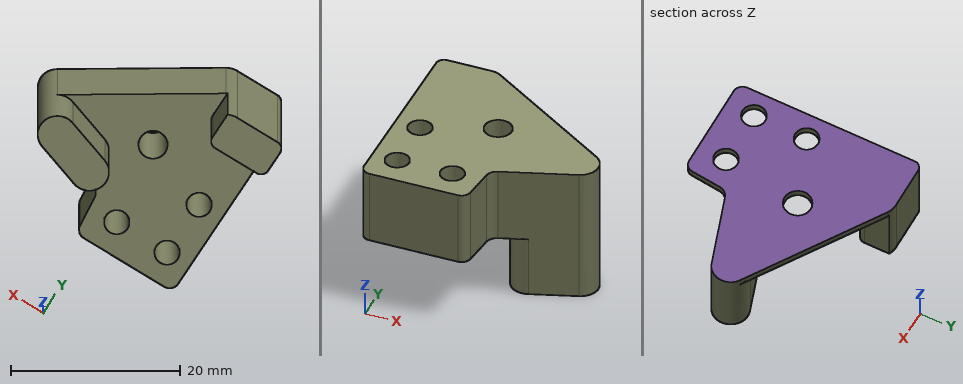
import cadquery as cq
import math

length_x = 25.76
depth_y = 24.61
height_z = 17.74
foot_height = 8.0

front_edge_end_x = 13.55
side_lean_angle = 6.3
lower_edge_angle = 18.43
upper_edge_angle = -32.95
tip_radius = 2.325
tip_center_y = 11.42
corner_radius = 1.2
rear_left_radius = 1.0
rear_right_radius = 2.5
inner_corner_radius = 1.45

rear_foot_length = 7.8
rear_foot_depth = 4.6
rear_foot_radius = 1.0

tip_foot_center_distance = 6.0

small_hole_diameter = 3.0
large_hole_diameter = 3.45
small_hole_x = 3.2
small_hole_y = 3.78
small_hole_pitch = 7.05
large_hole_center = (11.8, 14.2)

tip_center_x = length_x - tip_radius


def direction(angle):
    """Unit vector at an angle in degrees from the X axis."""
    return math.cos(math.radians(angle)), math.sin(math.radians(angle))


def from_tip_center(distance, angle):
    """Point at a distance and angle from the center of the rounded tip."""
    dx, dy = direction(angle)
    return tip_center_x + distance * dx, tip_center_y + distance * dy


def crossing(point_a, angle_a, point_b, angle_b):
    """Point where two lines meet, each given by a point and an angle."""
    ax, ay = direction(angle_a)
    bx, by = direction(angle_b)
    gap_x = point_b[0] - point_a[0]
    gap_y = point_b[1] - point_a[1]
    travel = (gap_x * by - gap_y * bx) / (ax * by - ay * bx)
    return point_a[0] + travel * ax, point_a[1] + travel * ay


def round_upright_edge(solid, point, radius):
    """Fillet the vertical edge nearest to a plan point."""
    x, y = point
    edge = cq.selectors.NearestToPointSelector((x, y, height_z / 2))
    return solid.edges("|Z").edges(edge).fillet(radius)


def make_body():
    """Full-height prism with a pointed nose and rounded upright edges."""
    lower_tangent = from_tip_center(tip_radius, lower_edge_angle - 90)
    upper_tangent = from_tip_center(tip_radius, upper_edge_angle + 90)
    front_left = (0, 0)
    front_right = (front_edge_end_x, 0)
    inner = crossing(front_right, 90 - side_lean_angle, lower_tangent, lower_edge_angle)
    tip = crossing(lower_tangent, lower_edge_angle, upper_tangent, upper_edge_angle)
    rear_left = (0, depth_y)
    rear_right = crossing(rear_left, 0, upper_tangent, upper_edge_angle)

    rounded_corners = [
        (front_left, corner_radius),
        (front_right, corner_radius),
        (inner, inner_corner_radius),
        (tip, tip_radius),
        (rear_right, rear_right_radius),
        (rear_left, rear_left_radius),
    ]
    outline = [point for point, radius in rounded_corners]
    body = cq.Workplane("XY").polyline(outline).close().extrude(height_z)
    for point, radius in rounded_corners:
        body = round_upright_edge(body, point, radius)
    return body


def make_foot_gap():
    """Block as large as the plan envelope that clears the space below the upper body."""
    return cq.Workplane("XY").box(length_x, depth_y, foot_height, centered=False)


def make_rear_foot():
    """Block along the rear edge with rounded front corners."""
    front_y = depth_y - rear_foot_depth
    foot = cq.Workplane("XY").rect(rear_foot_length, rear_foot_depth).extrude(foot_height)
    foot = foot.edges("|Z and <Y").fillet(rear_foot_radius)
    return foot.translate((rear_foot_length / 2, front_y + rear_foot_depth / 2, 0))


def make_tip_foot():
    """Slot-shaped foot that shares the rounded tip of the body."""
    middle = from_tip_center(tip_foot_center_distance / 2, lower_edge_angle + 180)
    slot_length = tip_foot_center_distance + 2 * tip_radius
    foot = cq.Workplane("XY").center(*middle)
    return foot.slot2D(slot_length, 2 * tip_radius, lower_edge_angle).extrude(foot_height)


def make_holes():
    """Cutters for three small holes in an L and one larger hole."""
    small_hole_centers = [
        (small_hole_x, small_hole_y),
        (small_hole_x + small_hole_pitch, small_hole_y),
        (small_hole_x, small_hole_y + small_hole_pitch),
    ]
    small = cq.Workplane("XY").pushPoints(small_hole_centers)
    small = small.circle(small_hole_diameter / 2).extrude(height_z)
    large = cq.Workplane("XY").center(*large_hole_center)
    return small.union(large.circle(large_hole_diameter / 2).extrude(height_z))


body = make_body()
feet = make_rear_foot().intersect(body).union(make_tip_foot())
result = body.cut(make_foot_gap()).union(feet).cut(make_holes())